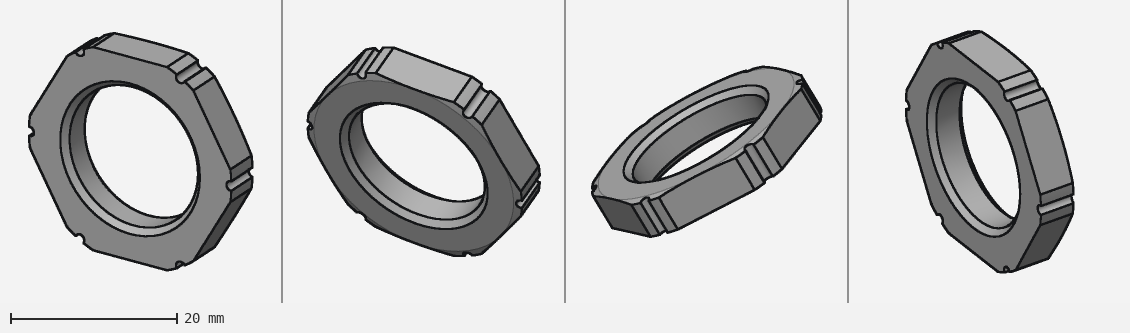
import cadquery as cq
import math

across_flats = 27.0
corner_diameter = 29.0
thickness = 5.0
bore_diameter = 18.37
bore_mouth_diameter = 20.0
crown_face_diameter = across_flats
crown_depth = 0.25
notch_diameter = 1.27
notch_center_radius = 14.43
corner_count = 6

corner_radius = corner_diameter / 2
bore_radius = bore_diameter / 2
mouth_radius = bore_mouth_diameter / 2
mouth_depth = mouth_radius - bore_radius


def hexagon():
    """Hexagonal prism along Y with corners on the X axis, front face at Y = 0."""
    across_corners = 2 * across_flats / math.sqrt(3)
    return cq.Workplane("XZ").polygon(corner_count, across_corners).extrude(-thickness)


def turned_envelope():
    """Ring turned about Y: rounded corners, crowned back edge, countersunk bore."""
    profile = [
        (mouth_radius, 0),
        (corner_radius, 0),
        (corner_radius, thickness - crown_depth),
        (crown_face_diameter / 2, thickness),
        (mouth_radius, thickness),
        (bore_radius, thickness - mouth_depth),
        (bore_radius, mouth_depth),
    ]
    return cq.Workplane("XY").polyline(profile).close().revolve(360, (0, 0), (0, 1))


def corner_notches():
    """Round grooves running through the full thickness at every corner."""
    return (
        cq.Workplane("XZ")
        .polarArray(notch_center_radius, 0, 360, corner_count)
        .circle(notch_diameter / 2)
        .extrude(-thickness)
    )


result = hexagon().intersect(turned_envelope()).cut(corner_notches())